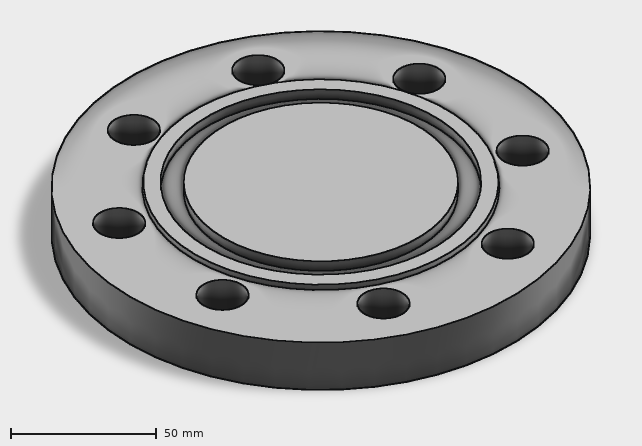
import cadquery as cq

flange_diameter = 185.0
total_height = 22.0
face_height = 2.0
plate_thickness = total_height - face_height

face_base_diameter = 122.7
face_top_diameter = 122.0
groove_outer_diameter = 110.0
groove_inner_diameter = 94.2
groove_depth = 4.0

bolt_count = 8
bolt_circle_diameter = 145.0
bolt_hole_diameter = 18.0
first_bolt_angle = 180 / bolt_count


def disc(diameter, height, base_z=0):
    """Solid disc on the Z axis with its underside at base_z."""
    return cq.Workplane("XY").workplane(offset=base_z).circle(diameter / 2).extrude(height)


def raised_face():
    """Low truncated cone standing on the plate."""
    return (
        cq.Workplane("XY")
        .workplane(offset=plate_thickness)
        .circle(face_base_diameter / 2)
        .workplane(offset=face_height)
        .circle(face_top_diameter / 2)
        .loft()
    )


def ring_groove():
    """Annular cutter reaching down from the raised face."""
    groove_floor = total_height - groove_depth
    outer = disc(groove_outer_diameter, groove_depth, groove_floor)
    inner = disc(groove_inner_diameter, groove_depth, groove_floor)
    return outer.cut(inner)


def bolt_holes():
    """Ring of cutters passing through the plate."""
    return (
        cq.Workplane("XY")
        .polarArray(bolt_circle_diameter / 2, first_bolt_angle, 360, bolt_count)
        .circle(bolt_hole_diameter / 2)
        .extrude(plate_thickness)
    )


plate = disc(flange_diameter, plate_thickness)
result = plate.union(raised_face()).cut(ring_groove()).cut(bolt_holes())